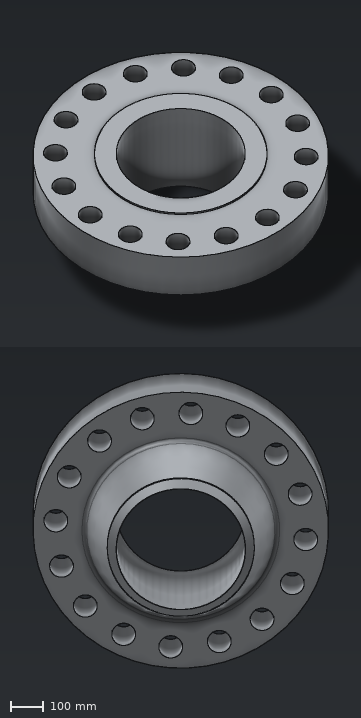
import cadquery as cq

flange_diameter = 914.0
flange_thickness = 163.0
raised_face_diameter = 534.0
raised_face_height = 6.0

overall_height = 334.0
bore_diameter = 399.0
hub_base_diameter = 591.0
hub_end_diameter = 455.0
root_fillet_radius = 16.5
bevel_height = 16.0
bevel_end_diameter = 400.5
land_height = 7.0

bolt_count = 16
bolt_circle_diameter = 775.0
bolt_hole_diameter = 73.0

flange_top = overall_height - raised_face_height
flange_bottom = flange_top - flange_thickness
land_top = bevel_height + land_height


def make_body():
    """Revolve the half section around Z and round the hub root."""
    profile = [
        (bore_diameter / 2, 0),
        (bevel_end_diameter / 2, 0),
        (hub_end_diameter / 2, bevel_height),
        (hub_end_diameter / 2, land_top),
        (hub_base_diameter / 2, flange_bottom),
        (flange_diameter / 2, flange_bottom),
        (flange_diameter / 2, flange_top),
        (raised_face_diameter / 2, flange_top),
        (raised_face_diameter / 2, overall_height),
        (bore_diameter / 2, overall_height),
    ]
    body = cq.Workplane("XZ").polyline(profile).close().revolve(360, (0, 0), (0, 1))
    margin = 1.0
    reach = hub_base_diameter / 2 + margin
    root_box = cq.selectors.BoxSelector(
        (-reach, -reach, flange_bottom - margin),
        (reach, reach, flange_bottom + margin),
        boundingbox=True,
    )
    return body.edges(root_box).fillet(root_fillet_radius)


def make_bolt_holes():
    return (
        cq.Workplane("XY")
        .workplane(offset=flange_bottom)
        .polarArray(bolt_circle_diameter / 2, 0, 360, bolt_count)
        .circle(bolt_hole_diameter / 2)
        .extrude(flange_thickness)
    )


result = make_body().cut(make_bolt_holes())